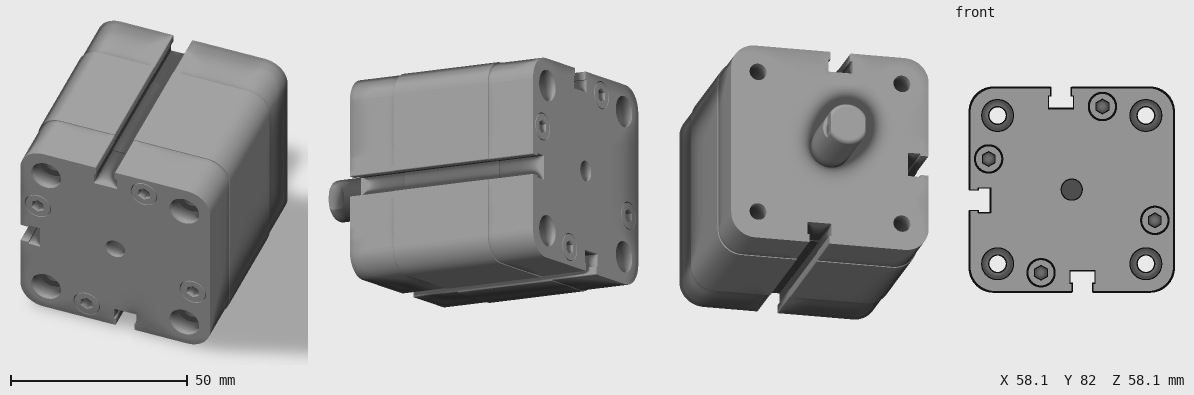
import cadquery as cq
import math


barrel_side = 58.1
cap_side = 57.65
corner_radius = 7.0
cap_length = 14.8
block_length = 60.6
barrel_length = block_length - 2 * cap_length

slot_offset = 3.0
slot_neck_width = 5.7
slot_inner_width = 7.0
slot_depth = 6.0
slot_lip_height = 2.4
slot_mouth_chamfer = 0.2
slot_turns = (0, 90, 180)

mount_spacing = 42.0
mount_hole_diameter = 4.9
mount_counterbore_diameter = 9.0
mount_counterbore_depth = 5.5

screw_offset_short = 8.7
screw_offset_long = 23.5
screw_seat_diameter = 8.0
screw_head_diameter = 7.5
screw_head_height = 4.0
socket_across_flats = 3.6
socket_depth = 3.0

center_hole_diameter = 6.0
center_hole_depth = 10.0

overall_length = 82.0
rod_diameter = 12.0
rod_length = overall_length - block_length
rod_tip_radius = 1.15
flats_width = 10.0
flats_length = 4.5


def front_plane(y=0.0):
    """Plane across the Y axis with local x along X, local y along Z and its normal along -Y."""
    return cq.Workplane("XZ", origin=(0, y, 0))


def slot_outline(side):
    """Closed T-shaped slot in the top face of a square section of the given side."""
    top = side / 2
    neck = slot_neck_width / 2
    inner = slot_inner_width / 2
    mouth = neck + slot_mouth_chamfer
    half = [
        (mouth, top),
        (neck, top - slot_mouth_chamfer),
        (neck, top - slot_lip_height),
        (inner, top - slot_lip_height),
        (inner, top - slot_depth),
    ]
    mirrored = [(-x, z) for x, z in reversed(half)]
    return [(x - slot_offset, z) for x, z in half + mirrored]


def block_section(side, start, length):
    """Rounded square length with a slot in its top, left and bottom faces."""
    section = front_plane(start).rect(side, side).extrude(-length)
    section = section.edges("|Y").fillet(corner_radius)
    slot = front_plane(start).polyline(slot_outline(side)).close().extrude(-length)
    for turn in slot_turns:
        section = section.cut(slot.rotate((0, 0, 0), (0, -1, 0), turn))
    return section


def mounting_holes():
    """Through holes with counterbores in the front cap."""
    centers = front_plane().rect(mount_spacing, mount_spacing, forConstruction=True).vertices()
    bores = centers.circle(mount_hole_diameter / 2).extrude(-block_length)
    seats = centers.circle(mount_counterbore_diameter / 2).extrude(-mount_counterbore_depth)
    return bores.union(seats)


def screw_centers():
    """Centers of the four screws, a quarter turn apart, as (x, z) pairs."""
    centers = [(screw_offset_short, screw_offset_long)]
    for _ in range(3):
        x, z = centers[-1]
        centers.append((-z, x))
    return centers


def screw_gaps():
    """Ring gaps between the screw heads and their counterbores."""
    centers = front_plane().pushPoints(screw_centers())
    seats = centers.circle(screw_seat_diameter / 2).extrude(-screw_head_height)
    heads = centers.circle(screw_head_diameter / 2).extrude(-screw_head_height)
    return seats.cut(heads)


def screw_sockets():
    """Hexagon sockets in the screw heads, all with two flats parallel to Z."""
    socket_radius = socket_across_flats / 2 / math.cos(math.pi / 6)
    corner_angles = [math.radians(30 + 60 * corner) for corner in range(6)]
    sockets = cq.Workplane("XZ")
    for x, z in screw_centers():
        corners = [
            (x + socket_radius * math.cos(angle), z + socket_radius * math.sin(angle))
            for angle in corner_angles
        ]
        sockets = sockets.add(front_plane().polyline(corners).close().extrude(-socket_depth))
    return sockets.combine()


def piston_rod():
    """Round-tipped rod with two wrench flats that run out at 45 degrees."""
    radius = rod_diameter / 2
    tip = overall_length
    rod = front_plane(block_length).circle(radius).extrude(-rod_length)
    rod = rod.faces(">Y").edges().fillet(rod_tip_radius)

    flat = flats_width / 2
    runout = radius - flat
    flat_end = tip - flats_length
    cutter = (
        cq.Workplane("XY")
        .polyline([(flat, tip), (flat, flat_end), (radius, flat_end - runout), (radius, tip)])
        .close()
        .extrude(radius, both=True)
    )
    return rod.cut(cutter).cut(cutter.mirror("YZ"))


front_cap = block_section(cap_side, 0, cap_length)
barrel = block_section(barrel_side, cap_length, barrel_length)
rear_cap = block_section(cap_side, block_length - cap_length, cap_length)
center_hole = front_plane().circle(center_hole_diameter / 2).extrude(-center_hole_depth)

block = front_cap.union(barrel).union(rear_cap)
for cutter in (mounting_holes(), screw_gaps(), screw_sockets(), center_hole):
    block = block.cut(cutter)
result = block.union(piston_rod())